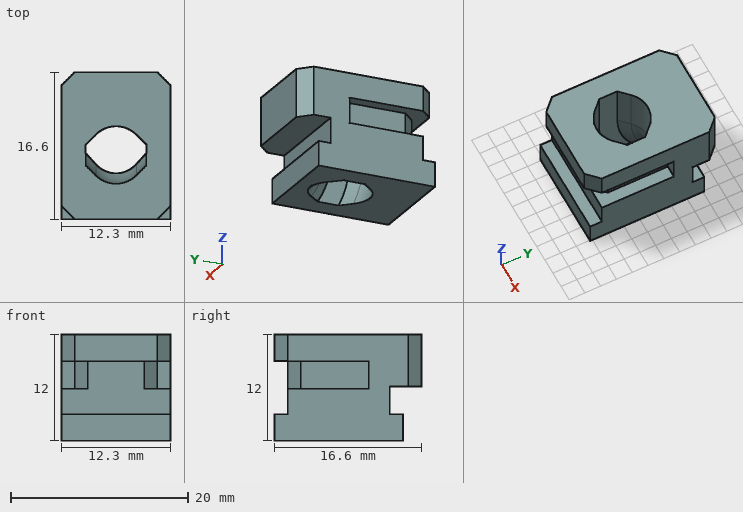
import cadquery as cq
import math

width = 12.3
length = 16.59
height = 12.0

step = 1.5
waist_back = 13.0
base_back = waist_back + step

flange = 3.0
groove = 3.1
head_underside = height - flange
pocket_floor = head_underside - groove
rear_overhang = flange + groove

pocket_back = 10.62

hole_radius = 3.24
hole_half_width = 3.43
hole_y = 7.23
bend_radius = 12.45
bend_start = height / 2
bend_angle = 45.0


def make_body():
    """Side profile with front and rear grooves, extruded across the width."""
    profile = [
        (0, 0),
        (base_back, 0),
        (base_back, flange),
        (waist_back, flange),
        (waist_back, rear_overhang),
        (length, rear_overhang),
        (length, height),
        (0, height),
        (0, head_underside),
        (step, head_underside),
        (step, flange),
        (0, flange),
    ]
    return cq.Workplane("YZ").polyline(profile).close().extrude(width / 2, both=True)


def make_head_block():
    """Rectangular block enclosing the head."""
    return (
        cq.Workplane("XY")
        .workplane(offset=rear_overhang)
        .box(width, length, height - rear_overhang, centered=(True, False, False))
    )


def trim_head_corners(body):
    """Chamfer the four head corners while leaving the base square."""
    head_block = make_head_block()
    return body.cut(head_block.cut(head_block.edges("|Z").chamfer(step)))


def make_side_pocket(side):
    """Pocket open to one side and to the front groove, with a chamfered inner corner."""
    outer = side * width / 2
    inner = outer - side * step
    outline = [
        (outer, step),
        (inner - side * step, step),
        (inner, 2 * step),
        (inner, pocket_back),
        (outer, pocket_back),
    ]
    return cq.Workplane("XY").workplane(offset=pocket_floor).polyline(outline).close().extrude(groove)


def hole_section():
    """Outline of the hole in the horizontal plane where the bend starts."""
    tangent = hole_radius * math.sqrt(0.5)
    flat = hole_radius * math.sqrt(2) - hole_half_width
    return (
        cq.Workplane("XY", origin=(0, hole_y, bend_start))
        .moveTo(-tangent, tangent)
        .threePointArc((0, hole_radius), (tangent, tangent))
        .lineTo(hole_half_width, flat)
        .lineTo(hole_half_width, -flat)
        .lineTo(tangent, -tangent)
        .threePointArc((0, -hole_radius), (-tangent, -tangent))
        .lineTo(-hole_half_width, -flat)
        .lineTo(-hole_half_width, flat)
        .close()
    )


def make_hole():
    """Vertical upper half joined to a lower half bent about an axis along X."""
    straight = hole_section().extrude(height - bend_start)
    bend = hole_section().revolve(bend_angle, (0, bend_radius, 0), (1, bend_radius, 0))
    return straight.union(bend)


result = trim_head_corners(make_body())
for side in (-1, 1):
    result = result.cut(make_side_pocket(side))
result = result.cut(make_hole())